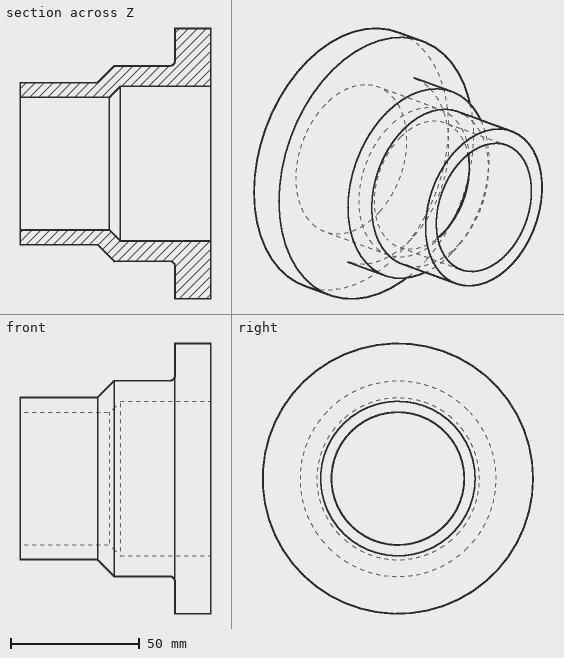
import cadquery as cq

total_length = 74.0
flange_diameter = 105.0
flange_thickness = 14.0

spigot_diameter = 63.0
spigot_length = 30.0
neck_diameter = 76.0
root_fillet = 2.0

spigot_bore = 51.5
flange_bore = 60.0
spigot_bore_length = 34.6

spigot_end = -total_length / 2
cone_start = spigot_end + spigot_length
cone_end = cone_start + (neck_diameter - spigot_diameter) / 2
bore_cone_start = spigot_end + spigot_bore_length
bore_cone_end = bore_cone_start + (flange_bore - spigot_bore) / 2
flange_face = total_length / 2
flange_back = flange_face - flange_thickness


def outer_body():
    """Solid spigot, cone, neck and flange, turned about X."""
    profile = (
        cq.Workplane("XY")
        .moveTo(spigot_end, 0)
        .lineTo(spigot_end, spigot_diameter / 2)
        .lineTo(cone_start, spigot_diameter / 2)
        .lineTo(cone_end, neck_diameter / 2)
        .lineTo(flange_back - root_fillet, neck_diameter / 2)
        .radiusArc((flange_back, neck_diameter / 2 + root_fillet), -root_fillet)
        .lineTo(flange_back, flange_diameter / 2)
        .lineTo(flange_face, flange_diameter / 2)
        .lineTo(flange_face, 0)
        .close()
    )
    return profile.revolve(360, (0, 0, 0), (1, 0, 0))


def bore():
    """Narrow bore from the spigot end, widening through a cone to the flange bore."""
    profile = (
        cq.Workplane("XY")
        .moveTo(spigot_end, 0)
        .lineTo(spigot_end, spigot_bore / 2)
        .lineTo(bore_cone_start, spigot_bore / 2)
        .lineTo(bore_cone_end, flange_bore / 2)
        .lineTo(flange_face, flange_bore / 2)
        .lineTo(flange_face, 0)
        .close()
    )
    return profile.revolve(360, (0, 0, 0), (1, 0, 0))


result = outer_body().cut(bore())